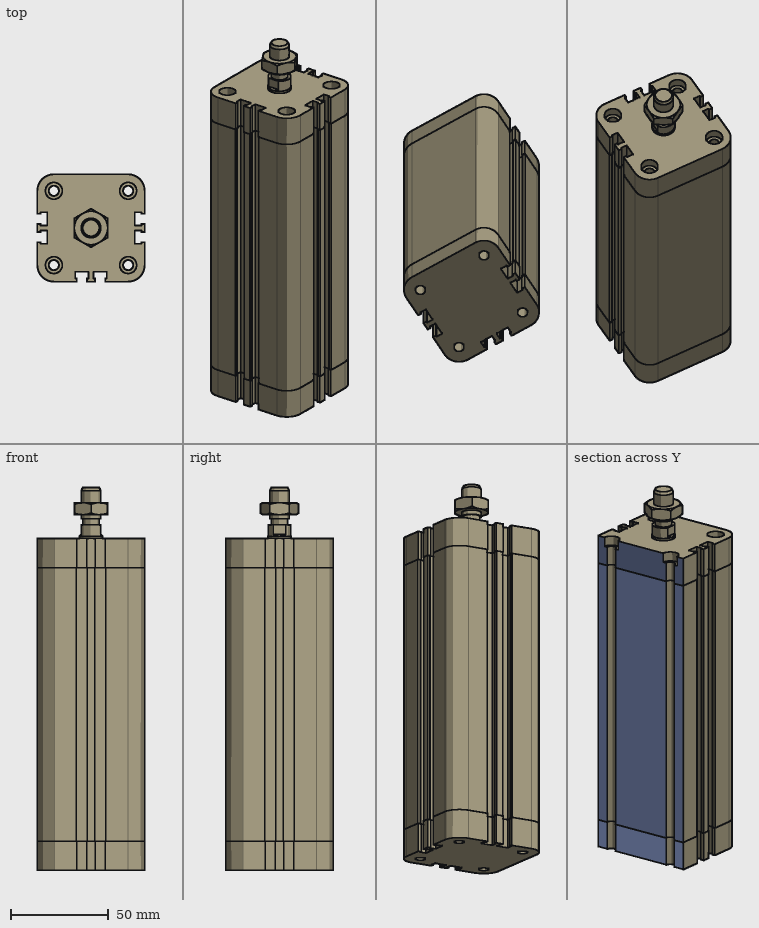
import cadquery as cq
import math

WIDTH = 55.0
HALF = WIDTH / 2
CORNER_RADIUS = 8.6
CAP_HEIGHT = 14.9
BODY_TOP = 170.0
TOP_CAP_BOTTOM = BODY_TOP - CAP_HEIGHT
BARREL_HEIGHT = TOP_CAP_BOTTOM - CAP_HEIGHT

SLOT_OFFSET = 4.7
CAP_MOUTH = 5.0
BARREL_MOUTH = 5.7
SLOT_INNER = 6.7
SLOT_LIP = 1.8
SLOT_DEPTH = 5.0
SLOTTED_SIDES = (-90, 0, 90)

SCREW_SPACING = 38.0
SCREW_DIAMETER = 5.0
COUNTERBORE_DIAMETER = 8.6
COUNTERBORE_DEPTH = 4.9

ROD_TOP = 196.0
ROD_DIAMETER = 12.0
ROD_SHOULDER = 171.1
SHANK_DIAMETER = 11.8
SHANK_TOP = 176.8
FLATS_WIDTH = 10.0
NECK_DIAMETER = 8.6
NECK_TOP = 180.0
THREAD_DIAMETER = 10.0
TIP_DIAMETER = 8.5
TIP_CHAMFER_HEIGHT = 1.5

NUT_FLATS = 17.0
NUT_BOTTOM = 182.0
NUT_HEIGHT = 6.0
NUT_CHAMFER_ANGLE = 30
HEXAGON_HALF_ANGLE = 30


def t_slot(height, mouth_width):
    """T-slot cutter for the -Y side, centred on x = 0."""
    mouth = cq.Workplane("XY").box(mouth_width, SLOT_DEPTH, height, centered=(True, False, False))
    inner = (
        cq.Workplane("XY")
        .box(SLOT_INNER, SLOT_DEPTH - SLOT_LIP, height, centered=(True, False, False))
        .translate((0, SLOT_LIP, 0))
    )
    return mouth.union(inner).translate((0, -HALF, 0))


def screw_cylinders(diameter, bottom, height):
    """Four upright cylinders on the screw centres."""
    return (
        cq.Workplane("XY", origin=(0, 0, bottom))
        .rect(SCREW_SPACING, SCREW_SPACING, forConstruction=True)
        .vertices()
        .circle(diameter / 2)
        .extrude(height)
    )


def slotted_block(bottom, height, mouth_width):
    """Length of the square profile with T-slots and corner screw holes."""
    block = (
        cq.Workplane("XY")
        .rect(WIDTH, WIDTH)
        .extrude(height)
        .edges("|Z")
        .fillet(CORNER_RADIUS)
    )
    for turn in SLOTTED_SIDES:
        for offset in (-SLOT_OFFSET, SLOT_OFFSET):
            slot = t_slot(height, mouth_width).translate((offset, 0, 0))
            block = block.cut(slot.rotate((0, 0, 0), (0, 0, 1), turn))
    block = block.cut(screw_cylinders(SCREW_DIAMETER, 0, height))
    return block.translate((0, 0, bottom))


def make_top_cap():
    """Upper end cap with counterbored screw holes and a hole for the rod."""
    cap = slotted_block(TOP_CAP_BOTTOM, CAP_HEIGHT, CAP_MOUTH)
    counterbores = screw_cylinders(
        COUNTERBORE_DIAMETER, BODY_TOP - COUNTERBORE_DEPTH, COUNTERBORE_DEPTH
    )
    rod_hole = (
        cq.Workplane("XY", origin=(0, 0, TOP_CAP_BOTTOM))
        .circle(ROD_DIAMETER / 2)
        .extrude(CAP_HEIGHT)
    )
    return cap.cut(counterbores).cut(rod_hole)


def flat_cutter():
    """Cutter for the +X spanner flat, its lower end sloping outwards at 45 degrees."""
    inside = FLATS_WIDTH / 2
    outside = ROD_DIAMETER / 2
    slope_bottom = ROD_SHOULDER - (outside - SHANK_DIAMETER / 2)
    return (
        cq.Workplane("XZ")
        .moveTo(outside, slope_bottom)
        .lineTo(inside, slope_bottom + outside - inside)
        .lineTo(inside, SHANK_TOP)
        .lineTo(outside, SHANK_TOP)
        .close()
        .extrude(SHANK_DIAMETER / 2, both=True)
    )


def make_rod():
    """Piston rod from the underside of the top cap to the threaded tip."""
    rod = (
        cq.Workplane("XZ")
        .moveTo(0, TOP_CAP_BOTTOM)
        .lineTo(ROD_DIAMETER / 2, TOP_CAP_BOTTOM)
        .lineTo(ROD_DIAMETER / 2, ROD_SHOULDER)
        .lineTo(SHANK_DIAMETER / 2, ROD_SHOULDER)
        .lineTo(SHANK_DIAMETER / 2, SHANK_TOP)
        .lineTo(NECK_DIAMETER / 2, SHANK_TOP)
        .lineTo(NECK_DIAMETER / 2, NECK_TOP)
        .lineTo(THREAD_DIAMETER / 2, NECK_TOP)
        .lineTo(THREAD_DIAMETER / 2, ROD_TOP - TIP_CHAMFER_HEIGHT)
        .lineTo(TIP_DIAMETER / 2, ROD_TOP)
        .lineTo(0, ROD_TOP)
        .close()
        .revolve(360, (0, 0, 0), (0, 1, 0))
    )
    flat = flat_cutter()
    return rod.cut(flat).cut(flat.mirror("YZ"))


def make_nut():
    """Hexagon nut with both end faces chamfered to the circle inside the flats."""
    face_radius = NUT_FLATS / 2
    corner_radius = face_radius / math.cos(math.radians(HEXAGON_HALF_ANGLE))
    drop = (corner_radius - face_radius) * math.tan(math.radians(NUT_CHAMFER_ANGLE))
    nut_top = NUT_BOTTOM + NUT_HEIGHT
    hexagon = (
        cq.Workplane("XY", origin=(0, 0, NUT_BOTTOM))
        .polygon(6, 2 * corner_radius)
        .circle(THREAD_DIAMETER / 2)
        .extrude(NUT_HEIGHT)
        .rotate((0, 0, 0), (0, 0, 1), HEXAGON_HALF_ANGLE)
    )
    chamfer_envelope = (
        cq.Workplane("XZ")
        .moveTo(0, NUT_BOTTOM)
        .lineTo(face_radius, NUT_BOTTOM)
        .lineTo(corner_radius, NUT_BOTTOM + drop)
        .lineTo(corner_radius, nut_top - drop)
        .lineTo(face_radius, nut_top)
        .lineTo(0, nut_top)
        .close()
        .revolve(360, (0, 0, 0), (0, 1, 0))
    )
    return hexagon.intersect(chamfer_envelope)


bottom_cap = slotted_block(0, CAP_HEIGHT, CAP_MOUTH)
barrel = slotted_block(CAP_HEIGHT, BARREL_HEIGHT, BARREL_MOUTH)
top_cap = make_top_cap()
rod = make_rod()
nut = make_nut()

bodies = [bottom_cap, barrel, top_cap, rod, nut]
result = cq.Compound.makeCompound([body.solids().val() for body in bodies])